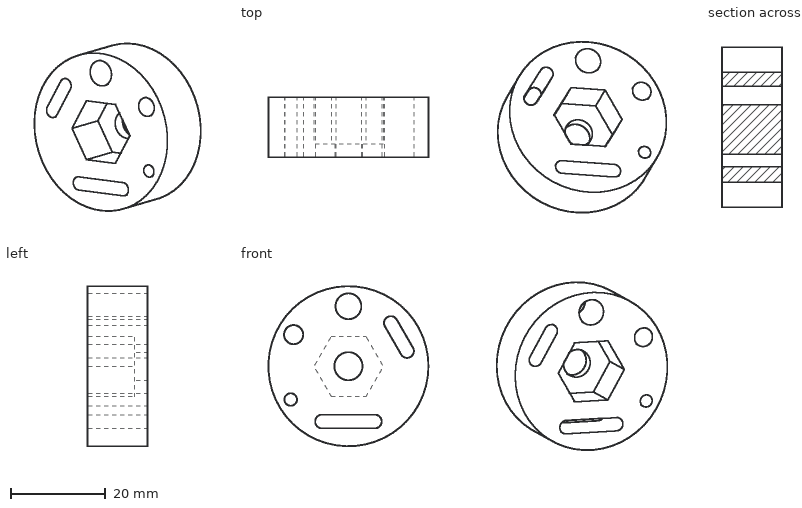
import cadquery as cq
import math

disc_diameter = 33.82
thickness = 12.68

centre_bore = (5.9, 0.0, 0.0)
large_hole = (5.4, 0.0, 12.65)
medium_hole = (4.0, -11.55, 6.65)
small_hole = (2.6, -12.18, -7.05)

hexagon_across_flats = 12.68
bore_depth = 2.85

slot_width = 2.85
long_slot_length = 14.0
short_slot_length = 9.67
long_slot_radius = 11.67
short_slot_radius = 12.3
long_slot_direction = -90.0
short_slot_direction = 30.0


def face_plane():
    """Sketch plane on the front face, with X right, Z up and -Y outward."""
    return cq.Workplane("XZ")


def round_hole(diameter, x, z):
    return face_plane().center(x, z).circle(diameter / 2).extrude(-thickness)


def tangential_slot(length, radius, direction):
    angle = math.radians(direction)
    return (
        face_plane()
        .center(radius * math.cos(angle), radius * math.sin(angle))
        .slot2D(length, slot_width, direction + 90)
        .extrude(-thickness)
    )


def hexagonal_pocket():
    across_corners = hexagon_across_flats / math.cos(math.pi / 6)
    return (
        face_plane()
        .workplane(offset=-bore_depth)
        .polygon(6, across_corners)
        .extrude(bore_depth - thickness)
    )


result = face_plane().circle(disc_diameter / 2).extrude(-thickness)

for hole in (centre_bore, large_hole, medium_hole, small_hole):
    result = result.cut(round_hole(*hole))

result = result.cut(tangential_slot(long_slot_length, long_slot_radius, long_slot_direction))
result = result.cut(tangential_slot(short_slot_length, short_slot_radius, short_slot_direction))
result = result.cut(hexagonal_pocket())